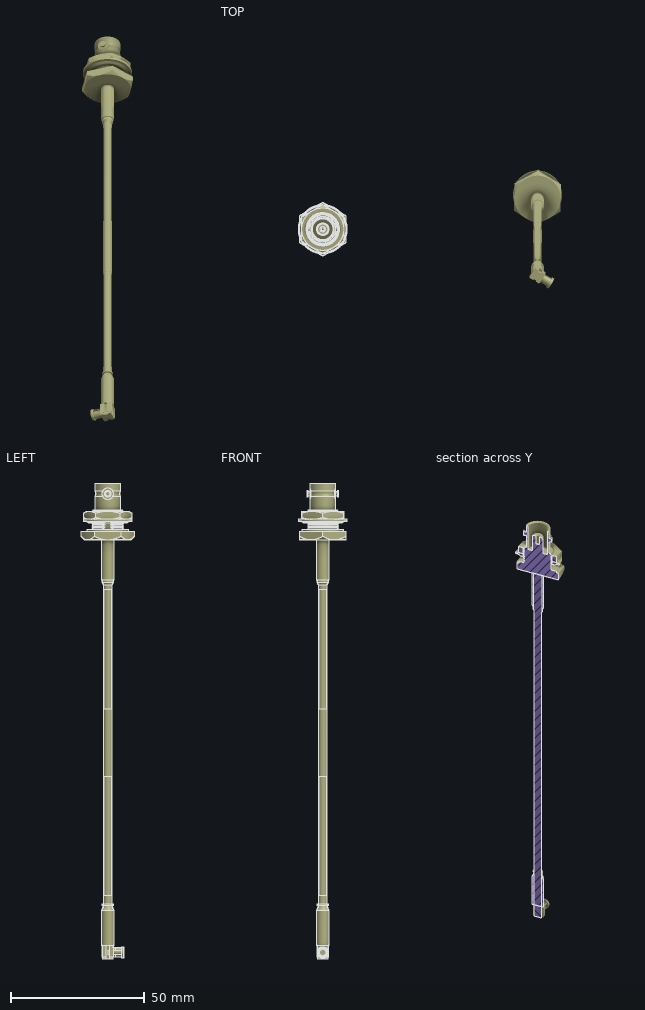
import cadquery as cq
import math

TOTAL_HEIGHT = 178.8

PLUG_BODY_WIDTH = 4.3
PLUG_BODY_TOP = 5.2
PLUG_SLOT_WIDTH = 1.3
PLUG_SLOT_DEPTH = 0.5
PLUG_FOOT_HEIGHT = 0.7
PLUG_FOOT_INSET = 0.09
BARREL_Z = 2.5
BARREL_RADIUS = 1.8
BARREL_REACH = 6.0
RIM_RADIUS = 2.1
RIM_LENGTH = 0.9
BARREL_SLOT_WIDTH = 1.6
BARREL_BORE_RADIUS = 1.6
BARREL_BORE_DEPTH = 3.2
PLUG_PIN_RADIUS = 1.3

CABLE_RADIUS = 1.57
SLEEVE_RADIUS = 1.6
FERRULE_DIAMETER = 4.8
FERRULE_RADIUS = FERRULE_DIAMETER / 2
COLLAR_RADIUS = 2.1
LABEL_BOTTOM = 68.7
LABEL_TOP = 94.0

PLUG_SHOULDER_Z = 18.2
PLUG_FLARE_BOTTOM = 18.8
PLUG_FLARE_TOP = 20.2
PLUG_RING_TOP = 20.7
PLUG_SLEEVE_TOP = 24.0

JACK_SLEEVE_BOTTOM = 139.0
JACK_COLLAR_BOTTOM = 140.5
JACK_COLLAR_TAPER_TOP = 141.5
JACK_TUBE_BOTTOM = 142.5

HEX_ACROSS_CORNERS = 20.2
HEX_ACROSS_FLATS = HEX_ACROSS_CORNERS * math.cos(math.pi / 6)
HEX_BOTTOM = 157.5
HEX_TOP = 160.7
HEX_CHAMFER_ANGLE = 45.0
SEAT_RADIUS = 7.9
SEAT_HEIGHT = 0.7
THREAD_RADIUS = 5.9
THREAD_DEPTH = 0.27
THREAD_PITCH = 0.9
THREAD_TOP = 168.8
THREAD_LEAD_IN = 0.5
THREAD_FLAT_X = -5.5
SHELL_RADIUS = 4.8
SHELL_BORE_RADIUS = 4.0
SHELL_BORE_DEPTH = 10.7
SHELL_MOUTH_CHAMFER = 0.4
RING_GROOVE_WIDTH = 2.1
RING_GROOVE_DEPTH = 0.27
BAYONET_Z = 174.9
BAYONET_RADIUS = 1.3
BAYONET_NECK_RADIUS = 0.9
BAYONET_REACH = 5.9
BAYONET_HEAD = 0.4
BAYONET_PAD_RADIUS = 2.1
DIELECTRIC_RADIUS = 2.3
DIELECTRIC_HEIGHT = 6.6
CONTACT_RADIUS = 2.0
CONTACT_HOLE_RADIUS = 0.5
CONTACT_HOLE_CHAMFER = 0.45
CONTACT_HOLE_DEPTH = 3.5
CONTACT_RISE = 0.5

NUT_ACROSS_FLATS = 16.0
NUT_TOP = 168.2
NUT_BOTTOM = 165.2
NUT_COUNTERSINK = 0.4
NUT_CHAMFER_ANGLE = 30.0
WASHER_DIAMETER = 18.5
WASHER_RADIUS = WASHER_DIAMETER / 2
WASHER_LIP_INNER = 8.8
WASHER_LIP_TOP = 165.4
WASHER_DISC_TOP = NUT_BOTTOM
WASHER_DISC_BOTTOM = 164.5
WASHER_HUB_TOP_RADIUS = 8.0
WASHER_HUB_RADIUS = 7.2
WASHER_HUB_BOTTOM = 164.0


def cylinder(radius, bottom, top):
    return cq.Workplane("XY").workplane(offset=bottom).circle(radius).extrude(top - bottom)


def revolve_z(profile):
    """Solid of revolution about Z from (radius, z) points."""
    return cq.Workplane("XZ").polyline(profile).close().revolve(360, (0, 0, 0), (0, 1, 0))


def flared_bore(radius, bottom, top, chamfer):
    """Cutter for a round bore along Z with a chamfered upper mouth."""
    return revolve_z([
        (0, bottom),
        (radius, bottom),
        (radius, top - chamfer),
        (radius + chamfer, top),
        (0, top),
    ])


def cylinder_y(radius, y_start, y_end, z):
    plane = cq.Workplane("XZ", origin=(0, y_start, z))
    return plane.circle(radius).extrude(y_start - y_end)


def cylinder_x(radius, x_start, x_end, z):
    plane = cq.Workplane("YZ", origin=(x_start, 0, z))
    return plane.circle(radius).extrude(x_end - x_start)


def hex_prism(across_flats, bottom, top, angle, chamfer_top):
    """Hexagon with flats facing X, its corners cut back conically at the ends."""
    flat = across_flats / 2
    corner = flat / math.cos(math.pi / 6)
    drop = (corner - flat) * math.tan(math.radians(angle))
    outline = [(0, bottom), (flat, bottom), (corner, bottom + drop)]
    if chamfer_top:
        outline += [(corner, top - drop), (flat, top)]
    else:
        outline += [(corner, top)]
    outline += [(0, top)]
    prism = cq.Workplane("XY").workplane(offset=bottom).polygon(6, 2 * corner).extrude(top - bottom)
    return prism.rotate((0, 0, 0), (0, 0, 1), 30).intersect(revolve_z(outline))


def thread_profile():
    """Ridged outline of the bulkhead thread, from the seat up to its top."""
    root = THREAD_RADIUS - THREAD_DEPTH
    start = HEX_TOP + SEAT_HEIGHT
    turns = int((THREAD_TOP - start) / THREAD_PITCH)
    points = [(0, start)]
    for turn in range(turns):
        z = start + turn * THREAD_PITCH
        points += [(root, z), (THREAD_RADIUS, z + THREAD_PITCH / 2)]
    last = start + turns * THREAD_PITCH
    points += [(root, last), (THREAD_RADIUS - THREAD_LEAD_IN, THREAD_TOP), (0, THREAD_TOP)]
    return points


def make_thread():
    """Bulkhead thread as parallel ridges, with one flat facing -X."""
    thread = revolve_z(thread_profile())
    cut_edge = -2 * THREAD_RADIUS
    flat_cut = (
        cq.Workplane("XY")
        .workplane(offset=HEX_TOP)
        .rect(THREAD_FLAT_X - cut_edge, 2 * THREAD_RADIUS)
        .extrude(THREAD_TOP - HEX_TOP)
        .translate(((THREAD_FLAT_X + cut_edge) / 2, 0, 0))
    )
    return thread.cut(flat_cut)


def cut_ring_groove(shell):
    """Shallow concave ring at the height of the bayonet studs, interrupted by the stud pads."""
    half = RING_GROOVE_WIDTH / 2
    return shell.cut(
        cq.Workplane("XZ")
        .moveTo(SHELL_RADIUS, BAYONET_Z - half)
        .threePointArc((SHELL_RADIUS - RING_GROOVE_DEPTH, BAYONET_Z), (SHELL_RADIUS, BAYONET_Z + half))
        .close()
        .revolve(360, (0, 0, 0), (0, 1, 0))
    )


def add_bayonet_studs(shell):
    """Studs on flat round pads, on the -X and +X sides of the shell."""
    for side in (-1, 1):
        root = side * (SHELL_BORE_RADIUS + SHELL_RADIUS) / 2
        tip = side * BAYONET_REACH
        neck = cylinder_x(BAYONET_NECK_RADIUS, root, tip, BAYONET_Z)
        head = cylinder_x(BAYONET_RADIUS, tip - side * BAYONET_HEAD, tip, BAYONET_Z)
        pad = cylinder_x(BAYONET_PAD_RADIUS, root, side * SHELL_RADIUS, BAYONET_Z)
        shell = shell.union(pad).union(neck).union(head)
    return shell


def make_jack():
    """Hex flange, seat, thread and bored bayonet shell with its dielectric and contact."""
    jack = hex_prism(HEX_ACROSS_FLATS, HEX_BOTTOM, HEX_TOP, HEX_CHAMFER_ANGLE, False)
    jack = jack.union(cylinder(SEAT_RADIUS, HEX_TOP, HEX_TOP + SEAT_HEIGHT))
    jack = jack.union(make_thread())
    jack = jack.union(cylinder(SHELL_RADIUS, THREAD_TOP, TOTAL_HEIGHT))
    floor = TOTAL_HEIGHT - SHELL_BORE_DEPTH
    jack = add_bayonet_studs(cut_ring_groove(jack))
    jack = jack.cut(flared_bore(SHELL_BORE_RADIUS, floor, TOTAL_HEIGHT, SHELL_MOUTH_CHAMFER))
    dielectric_top = floor + DIELECTRIC_HEIGHT
    contact_top = dielectric_top + CONTACT_RISE
    jack = jack.union(cylinder(DIELECTRIC_RADIUS, floor, dielectric_top))
    jack = jack.union(cylinder(CONTACT_RADIUS, floor, contact_top))
    hole_bottom = contact_top - CONTACT_HOLE_DEPTH
    return jack.cut(flared_bore(CONTACT_HOLE_RADIUS, hole_bottom, contact_top, CONTACT_HOLE_CHAMFER))


def make_nut():
    nut = hex_prism(NUT_ACROSS_FLATS, NUT_BOTTOM, NUT_TOP, NUT_CHAMFER_ANGLE, True)
    return nut.cut(flared_bore(THREAD_RADIUS, NUT_BOTTOM, NUT_TOP, NUT_COUNTERSINK))


def make_washer():
    """Washer with a raised outer lip and a shallow hub below."""
    return revolve_z([
        (THREAD_RADIUS, WASHER_DISC_TOP),
        (WASHER_LIP_INNER, WASHER_DISC_TOP),
        (WASHER_LIP_INNER, WASHER_LIP_TOP),
        (WASHER_RADIUS, WASHER_LIP_TOP),
        (WASHER_RADIUS, WASHER_DISC_BOTTOM),
        (WASHER_HUB_TOP_RADIUS, WASHER_DISC_BOTTOM),
        (WASHER_HUB_RADIUS, WASHER_HUB_BOTTOM),
        (THREAD_RADIUS, WASHER_HUB_BOTTOM),
    ])


def make_jack_ferrule():
    """Crimp tube under the jack, stepping down onto the cable."""
    return revolve_z([
        (CABLE_RADIUS, JACK_SLEEVE_BOTTOM),
        (SLEEVE_RADIUS, JACK_SLEEVE_BOTTOM),
        (SLEEVE_RADIUS, JACK_COLLAR_BOTTOM),
        (COLLAR_RADIUS, JACK_COLLAR_TAPER_TOP),
        (COLLAR_RADIUS, JACK_TUBE_BOTTOM),
        (FERRULE_RADIUS, JACK_TUBE_BOTTOM),
        (FERRULE_RADIUS, HEX_BOTTOM),
        (CABLE_RADIUS, HEX_BOTTOM),
    ])


def make_plug_ferrule():
    """Crimp tube above the plug, with a flared neck, a thin ring and a close sleeve."""
    return revolve_z([
        (CABLE_RADIUS, PLUG_BODY_TOP),
        (FERRULE_RADIUS, PLUG_BODY_TOP),
        (FERRULE_RADIUS, PLUG_SHOULDER_Z),
        (COLLAR_RADIUS, PLUG_FLARE_BOTTOM),
        (SLEEVE_RADIUS, PLUG_FLARE_TOP),
        (COLLAR_RADIUS, PLUG_FLARE_TOP),
        (COLLAR_RADIUS, PLUG_RING_TOP),
        (SLEEVE_RADIUS, PLUG_RING_TOP),
        (SLEEVE_RADIUS, PLUG_SLEEVE_TOP),
        (CABLE_RADIUS, PLUG_SLEEVE_TOP),
    ])


def make_cable():
    return cylinder(CABLE_RADIUS, PLUG_BODY_TOP, HEX_BOTTOM)


def make_label():
    """Thin marker sleeve around the middle of the cable."""
    label = cylinder(SLEEVE_RADIUS, LABEL_BOTTOM, LABEL_TOP)
    return label.cut(cylinder(CABLE_RADIUS, LABEL_BOTTOM, LABEL_TOP))


def make_plug():
    """Square body on a slightly inset foot, with a slotted, rimmed barrel and pin toward -Y."""
    half = PLUG_BODY_WIDTH / 2
    tip = -BARREL_REACH
    foot_width = PLUG_BODY_WIDTH - 2 * PLUG_FOOT_INSET
    plug = cq.Workplane("XY").rect(foot_width, foot_width).extrude(PLUG_FOOT_HEIGHT)
    plug = plug.faces(">Z").workplane().rect(PLUG_BODY_WIDTH, PLUG_BODY_WIDTH)
    plug = plug.extrude(PLUG_BODY_TOP - PLUG_FOOT_HEIGHT)
    for side in (-1, 1):
        slot = cq.Workplane("XY").box(2 * PLUG_SLOT_DEPTH, PLUG_SLOT_WIDTH, 2 * PLUG_BODY_TOP)
        plug = plug.cut(slot.translate((side * half, 0, 0)))
    plug = plug.union(cylinder_y(BARREL_RADIUS, 0, tip, BARREL_Z))
    plug = plug.union(cylinder_y(RIM_RADIUS, tip + RIM_LENGTH, tip, BARREL_Z))
    plug = plug.cut(cylinder_y(BARREL_BORE_RADIUS, tip + BARREL_BORE_DEPTH, tip, BARREL_Z))
    slot_end = tip + RIM_LENGTH
    barrel_slot = cq.Workplane("XY").box(2 * BARREL_RADIUS, -half - slot_end, BARREL_SLOT_WIDTH)
    plug = plug.cut(barrel_slot.translate((0, (slot_end - half) / 2, BARREL_Z)))
    return plug.union(cylinder_y(PLUG_PIN_RADIUS, 0, tip, BARREL_Z))


result = cq.Compound.makeCompound([
    make_jack().val(),
    make_nut().val(),
    make_washer().val(),
    make_jack_ferrule().val(),
    make_cable().val(),
    make_label().val(),
    make_plug_ferrule().val(),
    make_plug().val(),
])